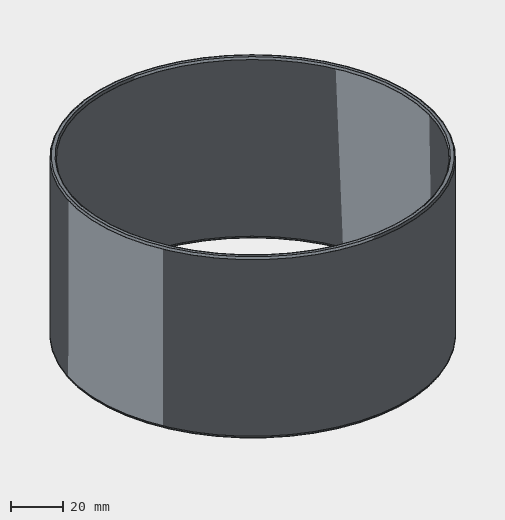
import cadquery as cq

outer_diameter = 155.0
height = 80.0
wall = 2.5
bevel_width = 0.5
bevel_depth = 1.0

outer_radius = outer_diameter / 2
inner_radius = outer_radius - wall

wall_section = (
    cq.Workplane("XZ")
    .moveTo(inner_radius, bevel_depth)
    .lineTo(inner_radius + bevel_width, 0)
    .lineTo(outer_radius - bevel_width, 0)
    .lineTo(outer_radius, bevel_depth)
    .lineTo(outer_radius, height - bevel_depth)
    .lineTo(outer_radius - bevel_width, height)
    .lineTo(inner_radius + bevel_width, height)
    .lineTo(inner_radius, height - bevel_depth)
    .close()
)

result = wall_section.revolve(360, (0, 0, 0), (0, 1, 0))